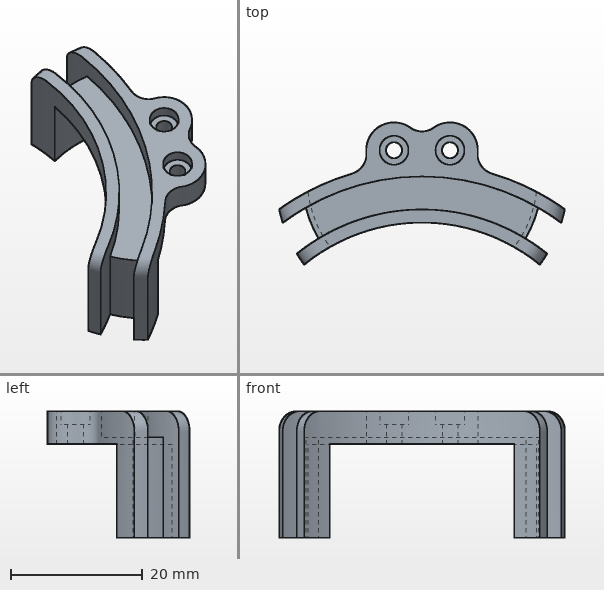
import cadquery as cq
import math

height = 19.25
inner_flange_inside = 28.2
flange_thickness = 2.0
groove_width = 5.0
groove_depth = 4.0
inner_flange_outside = inner_flange_inside + flange_thickness
outer_flange_inside = inner_flange_outside + groove_width
outer_flange_outside = outer_flange_inside + flange_thickness

clip_axis_y = 35.0
flange_end_radius = 22.25
web_end_radius = 18.25
opening_radius = 17.5
flange_corner_radius = 3.0

plate_thickness = 5.0
plate_bottom = height - plate_thickness
lug_x = 4.25
lug_y = 39.18
lug_radius = 4.25
lug_fillet = 3.0
screw_hole_diameter = 2.4
counterbore_diameter = 4.4
counterbore_depth = 2.0


def ring(inside, outside, ring_height):
    """Full ring about the Z axis, standing on Z = 0."""
    return cq.Workplane("XY").circle(outside).circle(inside).extrude(ring_height)


def clip_cylinder(radius, cylinder_height):
    """Cylinder about the offset axis, standing on Z = 0."""
    return cq.Workplane("XY").center(0, clip_axis_y).circle(radius).extrude(cylinder_height)


def point_between(start, end, distance):
    """Point at the given distance from start on the line towards end."""
    fraction = distance / math.dist(start, end)
    return (
        start[0] + fraction * (end[0] - start[0]),
        start[1] + fraction * (end[1] - start[1]),
    )


def mirrored(point):
    return (-point[0], point[1])


def outer_fillet_centre():
    """Centre of the fillet that touches both the +X lug and the outer flange."""
    axis = (0, 0)
    lug = (lug_x, lug_y)
    to_axis = outer_flange_outside + lug_fillet
    to_lug = lug_radius + lug_fillet
    lug_distance = math.dist(axis, lug)
    cos_spread = (to_axis**2 + lug_distance**2 - to_lug**2) / (2 * to_axis * lug_distance)
    angle = math.atan2(lug_y, lug_x) - math.acos(cos_spread)
    return (to_axis * math.cos(angle), to_axis * math.sin(angle))


def make_flanges():
    """Two curved walls with rounded upper end corners."""
    walls = ring(inner_flange_inside, inner_flange_outside, height).union(
        ring(outer_flange_inside, outer_flange_outside, height)
    )
    envelope = clip_cylinder(flange_end_radius, height).faces(">Z").edges().fillet(flange_corner_radius)
    return walls.intersect(envelope)


def make_web():
    """Groove floor and solid legs joining the two flanges."""
    web_height = height - groove_depth
    web = ring(inner_flange_inside, outer_flange_outside, web_height)
    return web.intersect(clip_cylinder(web_end_radius, web_height))


def make_lugs():
    """Two round lugs blended into each other and into the outer flange."""
    lug = (lug_x, lug_y)
    side_centre = outer_fillet_centre()
    valley_rise = math.sqrt((lug_radius + lug_fillet) ** 2 - lug_x**2)
    valley_centre = (0, lug_y + valley_rise)

    flange_tangent = point_between((0, 0), side_centre, outer_flange_outside)
    side_tangent = point_between(lug, side_centre, lug_radius)
    valley_tangent = point_between(lug, valley_centre, lug_radius)
    side_middle = point_between(side_centre, (0, lug_y - lug_radius), lug_fillet)
    lug_top = (lug_x, lug_y + lug_radius)
    valley_bottom = (0, valley_centre[1] - lug_fillet)

    return (
        cq.Workplane("XY")
        .workplane(offset=plate_bottom)
        .moveTo(*flange_tangent)
        .threePointArc(side_middle, side_tangent)
        .threePointArc(lug_top, valley_tangent)
        .threePointArc(valley_bottom, mirrored(valley_tangent))
        .threePointArc(mirrored(lug_top), mirrored(side_tangent))
        .threePointArc(mirrored(side_middle), mirrored(flange_tangent))
        .close()
        .extrude(plate_thickness)
    )


def cut_screw_holes(body):
    """Counterbored through holes, one on each lug centre."""
    return (
        body.faces(">Z")
        .workplane(origin=(0, 0, height))
        .pushPoints([(-lug_x, lug_y), (lug_x, lug_y)])
        .cboreHole(screw_hole_diameter, counterbore_diameter, counterbore_depth)
    )


opening = clip_cylinder(opening_radius, plate_bottom)
guide = make_flanges().union(make_web()).cut(opening)
result = cut_screw_holes(guide.union(make_lugs()))